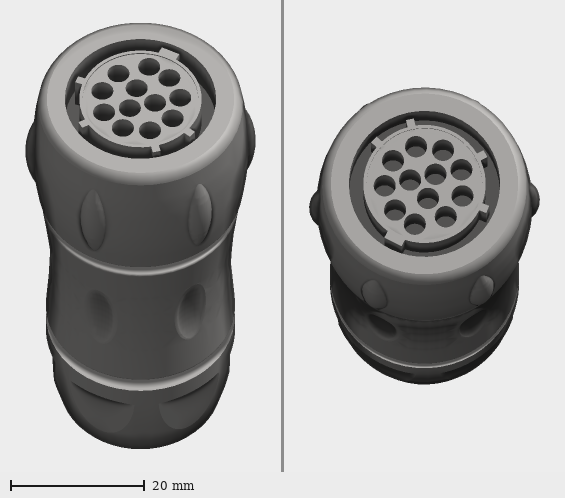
import math

import cadquery as cq

total_height = 72.6
full_turn = 360.0
grip_count = 6
grip_start_angle = 30.0
rim_radius = 0.35

nut_end_radius = 7.6
nut_shoulder_radius = 12.05
nut_shoulder_height = 2.7
nut_radius = 14.15
nut_widest_height = 16.6
nut_top_radius = 14.1
nut_top = 19.5
flat_distance = 13.05
flat_top = 16.05
flat_ledge_angle = 20.0
cut_clearance = 1.0

lower_neck_radius = 10.7
upper_neck_radius = 11.5

body_bottom = 22.1
body_top = 48.65
body_bottom_radius = 14.2
body_top_radius = 14.85
body_waist_radius = 13.65
body_waist_height = 33.5

dimple_height = 35.0
dimple_floor_radius = 12.75
dimple_arc_radius = 19.4
dimple_section_radius = 5.0
dimple_edge_radius = 0.8
dimple_edge_zone = 5.0

ring_bottom = 51.1
ring_end_radius = 15.3
ring_mid_radius = 16.15
ring_rounding_height = 1.35
ring_rounding_bulge = 0.15
ring_top_radius = 14.0
ring_shoulder = total_height - ring_rounding_height
ring_mid_height = (ring_bottom + ring_shoulder) / 2

grip_peak_radius = 17.25
grip_arc_radius = 18.6
grip_section_radius = 2.45

recess_radius = 11.3
recess_depth = 5.4
recess_floor = total_height - recess_depth
sleeve_radius = 9.15
insert_radius = 8.65
insert_setback = 0.2

wide_key_angle = 90.0
wide_key_width = 2.9
wide_key_reach = 10.15
narrow_key_angles = (185.0, 235.0, 310.0, 345.5)
narrow_key_width = 1.2
narrow_key_reach = 10.25

contact_diameter = 3.3
contact_depth = 6.0
outer_contact_radius = 5.95
outer_contact_count = 8
outer_contact_pitch = 40.0
outer_contact_start = 150.0
odd_contact_radius = 6.35
odd_contact_angle = 104.5
inner_contact_radius = 2.25
inner_contact_count = 3
inner_contact_start = 11.0


def polar(radius, angle):
    """XY point at a radius and an angle in degrees."""
    return (radius * math.cos(math.radians(angle)), radius * math.sin(math.radians(angle)))


def around_axis(shape):
    """Copies of a shape made on the +X side, one per grip position."""
    pitch = full_turn / grip_count
    copies = []
    for index in range(grip_count):
        copies.append(shape.rotate((0, 0, 0), (0, 0, 1), grip_start_angle + index * pitch))
    return copies


def cylinder(radius, bottom, top):
    return cq.Workplane("XY").workplane(offset=bottom).circle(radius).extrude(top - bottom)


def revolve_about_z(profile):
    """Solid of revolution of a closed XZ profile about the connector axis."""
    return profile.revolve(full_turn, (0, 0, 0), (0, 1, 0))


def make_gland_nut():
    run = nut_shoulder_radius - nut_end_radius
    rounding = (run**2 + nut_shoulder_height**2) / (2 * nut_shoulder_height)
    half_sweep = math.asin(run / rounding) / 2
    rounding_middle = (
        nut_end_radius + rounding * math.sin(half_sweep),
        rounding * (1 - math.cos(half_sweep)),
    )
    nut = revolve_about_z(
        cq.Workplane("XZ")
        .lineTo(nut_end_radius, 0)
        .threePointArc(rounding_middle, (nut_shoulder_radius, nut_shoulder_height))
        .threePointArc((nut_radius, nut_widest_height), (nut_top_radius, nut_top))
        .lineTo(0, nut_top)
        .close()
    )
    cut_width = 2 * nut_radius
    cut_reach = nut_radius - flat_distance + cut_clearance
    ledge_rise = cut_reach * math.tan(math.radians(flat_ledge_angle))
    flat_cutter = (
        cq.Workplane("XZ")
        .moveTo(flat_distance, 0)
        .lineTo(flat_distance + cut_reach, 0)
        .lineTo(flat_distance + cut_reach, flat_top + ledge_rise)
        .lineTo(flat_distance, flat_top)
        .close()
        .extrude(cut_width / 2, both=True)
    )
    for cutter in around_axis(flat_cutter):
        nut = nut.cut(cutter)
    return nut


def make_body():
    body = revolve_about_z(
        cq.Workplane("XZ")
        .moveTo(0, body_bottom)
        .lineTo(body_bottom_radius, body_bottom)
        .threePointArc((body_waist_radius, body_waist_height), (body_top_radius, body_top))
        .lineTo(0, body_top)
        .close()
    )
    body = body.faces("<Z or >Z").edges().fillet(rim_radius)
    dimple_cutter = cq.Workplane(
        cq.Solid.makeTorus(
            dimple_arc_radius - dimple_section_radius,
            dimple_section_radius,
            cq.Vector(dimple_floor_radius + dimple_arc_radius, 0, dimple_height),
            cq.Vector(0, 1, 0),
        )
    )
    for cutter in around_axis(dimple_cutter):
        body = body.cut(cutter)
    dimple_zone = cq.selectors.BoxSelector(
        (-body_top_radius, -body_top_radius, dimple_height - dimple_edge_zone),
        (body_top_radius, body_top_radius, dimple_height + dimple_edge_zone),
    )
    return body.edges(dimple_zone).fillet(dimple_edge_radius)


def make_coupling_ring():
    rounding_middle = (
        (ring_end_radius + ring_top_radius) / 2 + ring_rounding_bulge,
        (ring_shoulder + total_height) / 2 + ring_rounding_bulge,
    )
    ring = revolve_about_z(
        cq.Workplane("XZ")
        .moveTo(0, ring_bottom)
        .lineTo(ring_end_radius, ring_bottom)
        .threePointArc((ring_mid_radius, ring_mid_height), (ring_end_radius, ring_shoulder))
        .threePointArc(rounding_middle, (ring_top_radius, total_height))
        .lineTo(0, total_height)
        .close()
    )
    ring = ring.faces("<Z").edges().fillet(rim_radius)
    spindle_half_length = math.sqrt(
        grip_arc_radius**2 - (grip_arc_radius - grip_section_radius) ** 2
    )
    spindle_axis = grip_peak_radius - grip_section_radius
    grip = (
        cq.Workplane("XZ", origin=(spindle_axis, 0, ring_mid_height))
        .moveTo(0, -spindle_half_length)
        .threePointArc((grip_section_radius, 0), (0, spindle_half_length))
        .close()
        .revolve(full_turn, (0, 0, 0), (0, 1, 0))
    )
    for copy in around_axis(grip):
        ring = ring.union(copy)
    return ring


def make_key(angle, width, reach):
    key = cq.Workplane("XY").box(reach, width, recess_depth, centered=(False, True, False))
    return key.translate((0, 0, recess_floor)).rotate((0, 0, 0), (0, 0, 1), angle)


def make_recess():
    """Space around the sleeve, its keys and the slightly set-back insert face."""
    island = cylinder(sleeve_radius, recess_floor, total_height)
    island = island.union(make_key(wide_key_angle, wide_key_width, wide_key_reach))
    for angle in narrow_key_angles:
        island = island.union(make_key(angle, narrow_key_width, narrow_key_reach))
    island = island.cut(cylinder(insert_radius, total_height - insert_setback, total_height))
    return cylinder(recess_radius, recess_floor, total_height).cut(island)


def make_contact_holes():
    centres = [polar(odd_contact_radius, odd_contact_angle)]
    for index in range(outer_contact_count):
        centres.append(polar(outer_contact_radius, outer_contact_start + index * outer_contact_pitch))
    for index in range(inner_contact_count):
        angle = inner_contact_start + index * full_turn / inner_contact_count
        centres.append(polar(inner_contact_radius, angle))
    return (
        cq.Workplane("XY")
        .workplane(offset=total_height)
        .pushPoints(centres)
        .circle(contact_diameter / 2)
        .extrude(-contact_depth)
    )


result = make_gland_nut()
result = result.union(cylinder(lower_neck_radius, nut_top, body_bottom))
result = result.union(make_body())
result = result.union(cylinder(upper_neck_radius, body_top, ring_bottom))
result = result.union(make_coupling_ring())
result = result.cut(make_recess())
result = result.cut(make_contact_holes())